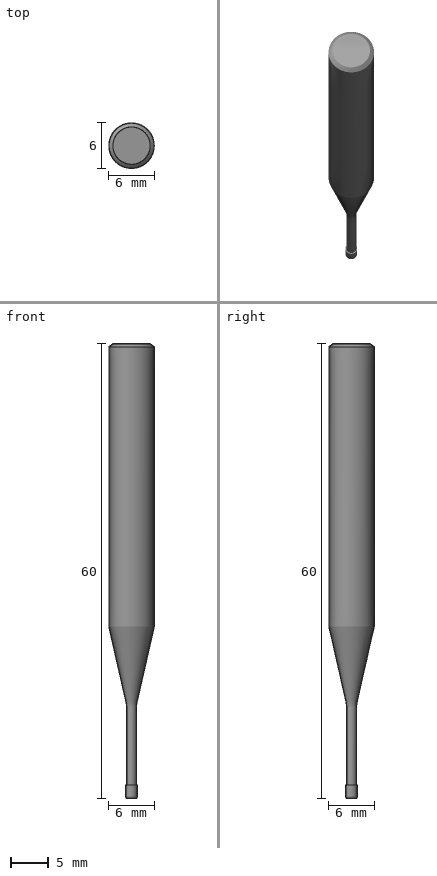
import cadquery as cq
import math

total_length = 60.0
shank_radius = 3.0

head_radius = 0.8
head_length = 1.8
corner_radius = 0.3

neck_radius = 0.65
neck_top = 12.05
blend_tangent = 0.35

cone_top = 22.7
chamfer_height = 0.4
chamfer_width = 0.55


def make_cutting_head():
    """Short cylinder with a rounded bottom edge."""
    head = cq.Workplane("XY").circle(head_radius).extrude(head_length)
    return head.faces("<Z").edges().fillet(corner_radius)


def make_shank():
    """Slender neck, conical transition and chamfered shank in one piece."""
    meeting_height = neck_top + blend_tangent
    cone_angle = math.atan((shank_radius - neck_radius) / (cone_top - meeting_height))
    blend_radius = blend_tangent / math.tan(cone_angle / 2)

    def blend_point(angle):
        """Point on the blend arc, turned by an angle from its lower end."""
        return (
            neck_radius + blend_radius * (1 - math.cos(angle)),
            neck_top + blend_radius * math.sin(angle),
        )

    profile = (
        cq.Workplane("XZ")
        .moveTo(0, head_length)
        .lineTo(neck_radius, head_length)
        .lineTo(neck_radius, neck_top)
        .threePointArc(blend_point(cone_angle / 2), blend_point(cone_angle))
        .lineTo(shank_radius, cone_top)
        .lineTo(shank_radius, total_length - chamfer_height)
        .lineTo(shank_radius - chamfer_width, total_length)
        .lineTo(0, total_length)
        .close()
    )
    return profile.revolve(360, (0, 0, 0), (0, 1, 0))


cutting_head = make_cutting_head()
shank = make_shank()

result = cq.Compound.makeCompound([cutting_head.val(), shank.val()])